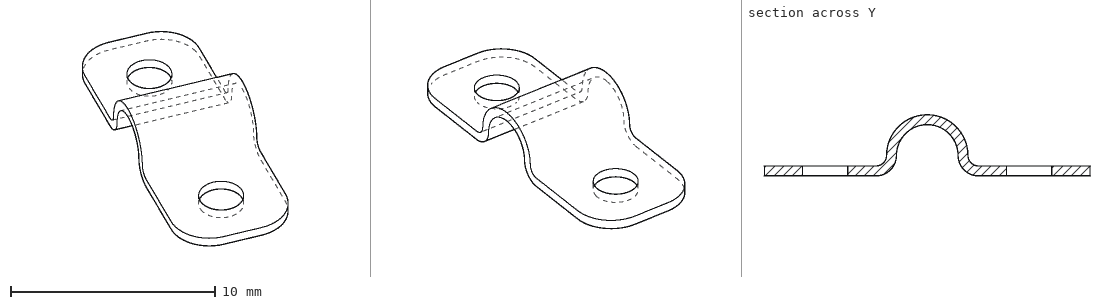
import cadquery as cq
import math

length = 16.0
width = 6.0
height = 3.0
thickness = 0.5
arch_outer_radius = 2.0
corner_radius = 2.0
hole_diameter = 2.2
hole_spacing = 10.0

arch_inner_radius = arch_outer_radius - thickness
bend_height = height - arch_outer_radius
bend_outer_radius = bend_height
bend_inner_radius = bend_outer_radius - thickness
bend_x = arch_outer_radius + bend_inner_radius
half_length = length / 2


def bend_point(radius, side):
    """Middle of a foot bend arc, side is -1 for left and 1 for right."""
    offset = radius * math.sqrt(0.5)
    return (side * (bend_x - offset), bend_height - offset)


def make_strap():
    """Bent strip: two flat feet joined by a half-round arch."""
    return (
        cq.Workplane("XZ")
        .moveTo(-half_length, 0)
        .lineTo(-bend_x, 0)
        .threePointArc(bend_point(bend_outer_radius, -1), (-arch_inner_radius, bend_height))
        .threePointArc((0, height - thickness), (arch_inner_radius, bend_height))
        .threePointArc(bend_point(bend_outer_radius, 1), (bend_x, 0))
        .lineTo(half_length, 0)
        .lineTo(half_length, thickness)
        .lineTo(bend_x, thickness)
        .threePointArc(bend_point(bend_inner_radius, 1), (arch_outer_radius, bend_height))
        .threePointArc((0, height), (-arch_outer_radius, bend_height))
        .threePointArc(bend_point(bend_inner_radius, -1), (-bend_x, thickness))
        .lineTo(-half_length, thickness)
        .close()
        .extrude(width / 2, both=True)
    )


def round_foot_corners(strap):
    """Round the four outer corners of the feet."""
    return strap.edges("|Z").fillet(corner_radius)


def make_hole_cutters():
    """One through-hole cylinder for each foot."""
    return (
        cq.Workplane("XY")
        .pushPoints([(-hole_spacing / 2, 0), (hole_spacing / 2, 0)])
        .circle(hole_diameter / 2)
        .extrude(thickness)
    )


result = round_foot_corners(make_strap()).cut(make_hole_cutters())